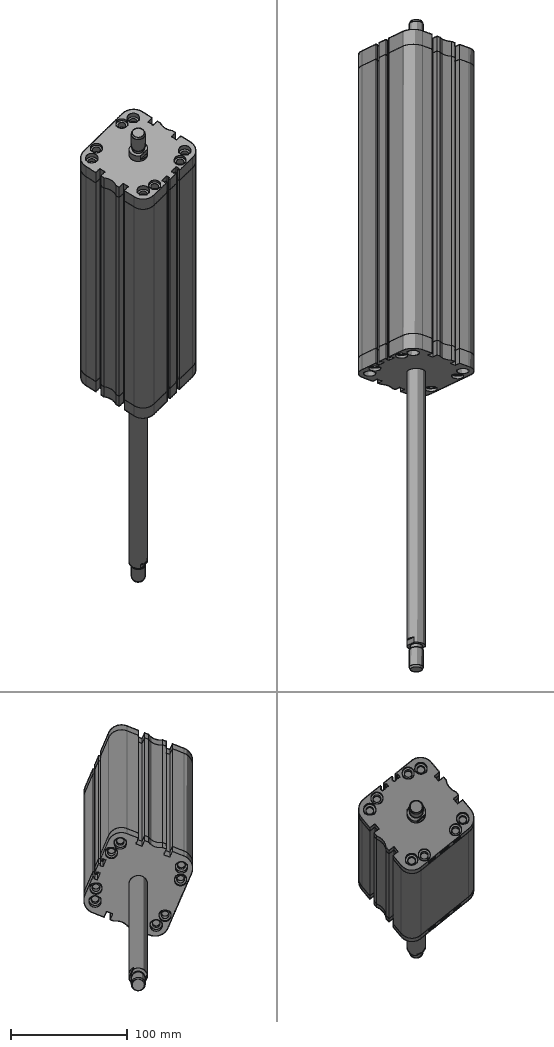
import cadquery as cq


width = 77.0
half_width = width / 2
corner_radius = 12.0
body_length = 300.0
cap_height = 14.0
barrel_length = body_length - 2 * cap_height
bore_diameter = 63.0

groove_width = 5.6
groove_depth = 5.6
groove_offset = 12.85
hollow_width = 13.0
hollow_depth = 1.8

slot_offset = 6.4
slot_mouth = 3.5
slot_inner_width = 6.5
slot_lip = 1.7
slot_depth = 4.6

corner_pitch = 56.5
corner_head_diameter = 10.5
side_pitch_x = 64.0
side_pitch_y = 34.6
side_head_diameter = 10.3
corner_head_depth = 5.0
side_head_depth = 2.5
screw_diameter = 6.65
screw_depth = 9.0

port_diameter = 9.8
port_core_diameter = 8.57
port_height = 6.2
port_depth = 1.0
port_total_depth = 12.0

recess_offset = 13.8
recess_width = 7.6
recess_height = 4.5
recess_step = 0.5
recess_floor_width = 4.6
recess_floor_height = 1.6
recess_depth = 1.0

stroke = 250.0
rod_diameter = 16.0
shoulder_height = 7.5
flats_width = 13.0
flats_length = 5.0
thread_diameter = 12.0
thread_length = 22.0
tip_diameter = 10.3
tip_length = 2.0
relief_diameter = 10.5
relief_length = 3.7
relief_chamfer = (thread_diameter - relief_diameter) / 2


def box_at(x_size, y_size, height, x, y):
    """Vertical bar standing on Z = 0, centred on (x, y)."""
    return cq.Workplane("XY").center(x, y).rect(x_size, y_size).extrude(height)


def profile_bar(height):
    """Rounded square bar with the grooves, hollows and sensor slots along its length."""
    bar = cq.Workplane("XY").rect(width, width).extrude(height)
    bar = bar.edges("|Z").fillet(corner_radius)
    for side in (-1, 1):
        edge = side * half_width
        hollow = (
            cq.Workplane("XY")
            .moveTo(-hollow_width / 2, edge)
            .threePointArc((0, edge - side * hollow_depth), (hollow_width / 2, edge))
            .close()
            .extrude(height)
        )
        bar = bar.cut(hollow)
        for x in (-groove_offset, groove_offset):
            bar = bar.cut(box_at(groove_width, 2 * groove_depth, height, x, edge))
    inner_depth = slot_depth - slot_lip
    inner_x = half_width - slot_lip - inner_depth / 2
    for y in (-slot_offset, slot_offset):
        bar = bar.cut(box_at(2 * slot_depth, slot_mouth, height, half_width, y))
        bar = bar.cut(box_at(inner_depth, slot_inner_width, height, inner_x, y))
    return bar


def make_barrel():
    barrel = profile_bar(barrel_length)
    barrel = barrel.faces(">Z").workplane(origin=(0, 0, 0)).hole(bore_diameter)
    return barrel.translate((0, 0, cap_height))


def drill_screw_holes(cap, pitch_x, pitch_y, head_diameter, head_depth):
    return (
        cap.faces(">Z")
        .workplane(origin=(0, 0, 0))
        .rect(pitch_x, pitch_y, forConstruction=True)
        .vertices()
        .cboreHole(screw_diameter, head_diameter, head_depth, screw_depth)
    )


def port_bore(diameter, depth):
    """Round cutter entering the -X face of a cap."""
    return (
        cq.Workplane("YZ", origin=(-half_width, 0, port_height))
        .circle(diameter / 2)
        .extrude(depth)
    )


def recess(y_size, z_size, depth, y):
    """Rectangular cutter entering the -X face of a cap, level with the port."""
    return (
        cq.Workplane("YZ", origin=(-half_width, y, port_height))
        .rect(y_size, z_size)
        .extrude(depth)
    )


def make_cap():
    """End cap standing on Z = 0 with its outer face upward."""
    cap = profile_bar(cap_height)
    cap = cap.faces(">Z").workplane(origin=(0, 0, 0)).hole(rod_diameter)
    cap = drill_screw_holes(cap, corner_pitch, corner_pitch, corner_head_diameter, corner_head_depth)
    cap = drill_screw_holes(cap, side_pitch_x, side_pitch_y, side_head_diameter, side_head_depth)
    for y in (-recess_offset, recess_offset):
        cap = cap.cut(recess(recess_width, recess_height, recess_step, y))
        cap = cap.cut(recess(recess_floor_width, recess_floor_height, recess_depth, y))
    cap = cap.cut(port_bore(port_diameter, port_depth))
    return cap.cut(port_bore(port_core_diameter, port_total_depth))


def rod_end():
    """Threaded end standing on the rod shoulder at Z = 0."""
    thread_radius = thread_diameter / 2
    relief_radius = relief_diameter / 2
    return (
        cq.Workplane("XZ")
        .moveTo(0, 0)
        .lineTo(relief_radius, 0)
        .lineTo(relief_radius, relief_length - relief_chamfer)
        .lineTo(thread_radius, relief_length)
        .lineTo(thread_radius, thread_length - tip_length)
        .lineTo(tip_diameter / 2, thread_length)
        .lineTo(0, thread_length)
        .close()
        .revolve(360, (0, 0, 0), (0, 1, 0))
    )


def make_rod():
    rod_bottom = -(stroke + shoulder_height)
    rod_top = body_length + shoulder_height
    rod_length = rod_top - rod_bottom
    rod = cq.Workplane("XY").circle(rod_diameter / 2).extrude(rod_length)
    flat_depth = (rod_diameter - flats_width) / 2
    flat_x = (flats_width + flat_depth) / 2
    for x in (-flat_x, flat_x):
        flat_cutter = box_at(flat_depth, rod_diameter, flats_length, x, 0)
        rod = rod.cut(flat_cutter)
        rod = rod.cut(flat_cutter.translate((0, 0, rod_length - flats_length)))
    rod = rod.union(rod_end().translate((0, 0, rod_length)))
    rod = rod.union(rod_end().rotate((0, 0, 0), (1, 0, 0), 180))
    return rod.translate((0, 0, rod_bottom))


barrel = make_barrel()
cap = make_cap()
upper_cap = cap.translate((0, 0, body_length - cap_height))
lower_cap = cap.mirror("XY").translate((0, 0, cap_height))
rod = make_rod()

result = cq.Compound.makeCompound([barrel.val(), upper_cap.val(), lower_cap.val(), rod.val()])